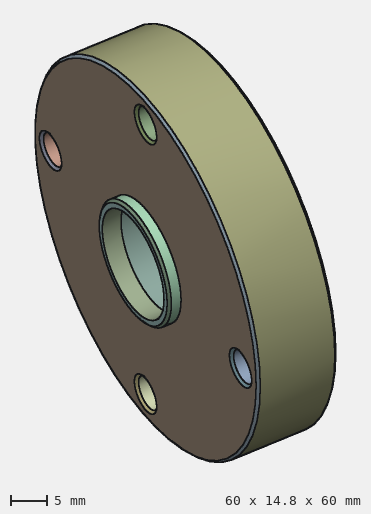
import cadquery as cq

disc_diameter = 59.95
total_depth = 14.75
hub_height = 2.0
disc_thickness = total_depth - hub_height

edge_chamfer = 0.4

hub_diameter = 19.0

mouth_diameter = 16.5
mouth_depth = 3.0
back_bore_diameter = 19.1
back_bore_depth = total_depth - mouth_depth

bolt_hole_count = 4
bolt_hole_diameter = 5.1
bolt_circle_diameter = 50.75


def cylinder(diameter, start_y, length):
    """Round bar centred on the Y axis, running from start_y toward +Y."""
    plane = cq.Workplane("XZ", origin=(0, start_y, 0))
    return plane.circle(diameter / 2).extrude(-length)


def make_disc():
    return cylinder(disc_diameter, 0, disc_thickness).edges().chamfer(edge_chamfer)


def make_hub():
    hub = cylinder(hub_diameter, -hub_height, hub_height)
    return hub.faces("<Y").edges().chamfer(edge_chamfer)


def make_stepped_bore():
    mouth = cylinder(mouth_diameter, -hub_height, total_depth)
    back_bore = cylinder(back_bore_diameter, mouth_depth - hub_height, back_bore_depth)
    return mouth.union(back_bore)


def make_bolt_hole():
    """Cutter on the Y axis: a through hole with a chamfered mouth at the front disc face."""
    hole_radius = bolt_hole_diameter / 2
    mouth_radius = hole_radius + edge_chamfer
    half_profile = [
        (0, 0),
        (mouth_radius, 0),
        (hole_radius, edge_chamfer),
        (hole_radius, disc_thickness),
        (0, disc_thickness),
    ]
    return cq.Workplane("XY").polyline(half_profile).close().revolve(360, (0, 0, 0), (0, 1, 0))


def drill_bolt_holes(body):
    bolt_hole = make_bolt_hole().translate((bolt_circle_diameter / 2, 0, 0))
    for index in range(bolt_hole_count):
        angle = index * 360 / bolt_hole_count
        body = body.cut(bolt_hole.rotate((0, 0, 0), (0, 1, 0), angle))
    return body


flange = make_disc().union(make_hub()).cut(make_stepped_bore())
result = drill_bolt_holes(flange)